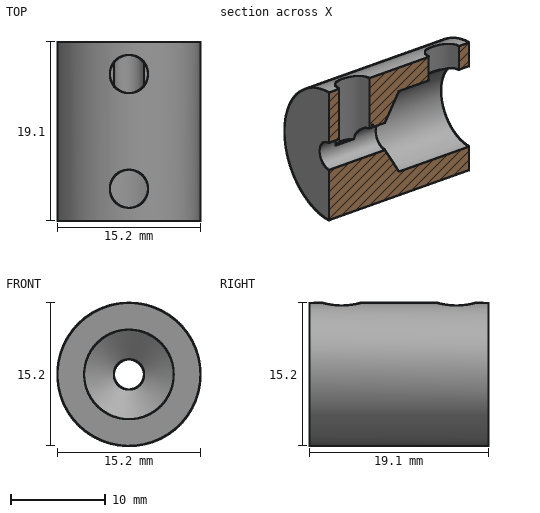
import cadquery as cq
import math

length = 19.05
outer_diameter = 15.24
large_bore_diameter = 9.52
small_bore_diameter = 3.18
large_bore_depth = 9.52
cone_angle = 118.0
screw_hole_diameter = 4.05
screw_hole_inset = 3.43

outer_radius = outer_diameter / 2
large_bore_radius = large_bore_diameter / 2
small_bore_radius = small_bore_diameter / 2
front_y = -length / 2
back_y = length / 2
cone_start_y = front_y + large_bore_depth
cone_length = (large_bore_radius - small_bore_radius) / math.tan(math.radians(cone_angle / 2))


def coupling_body():
    """Sleeve revolved about Y: a large front bore tapering into a small back bore."""
    half_section = [
        (large_bore_radius, front_y),
        (outer_radius, front_y),
        (outer_radius, back_y),
        (small_bore_radius, back_y),
        (small_bore_radius, cone_start_y + cone_length),
        (large_bore_radius, cone_start_y),
    ]
    return cq.Workplane("XY").polyline(half_section).close().revolve(360, (0, 0), (0, 1))


def screw_holes():
    """Radial holes from the top of the sleeve down to the bore axis, one near each end."""
    centers = [(0, front_y + screw_hole_inset), (0, back_y - screw_hole_inset)]
    return cq.Workplane("XY").pushPoints(centers).circle(screw_hole_diameter / 2).extrude(outer_radius)


result = coupling_body().cut(screw_holes())